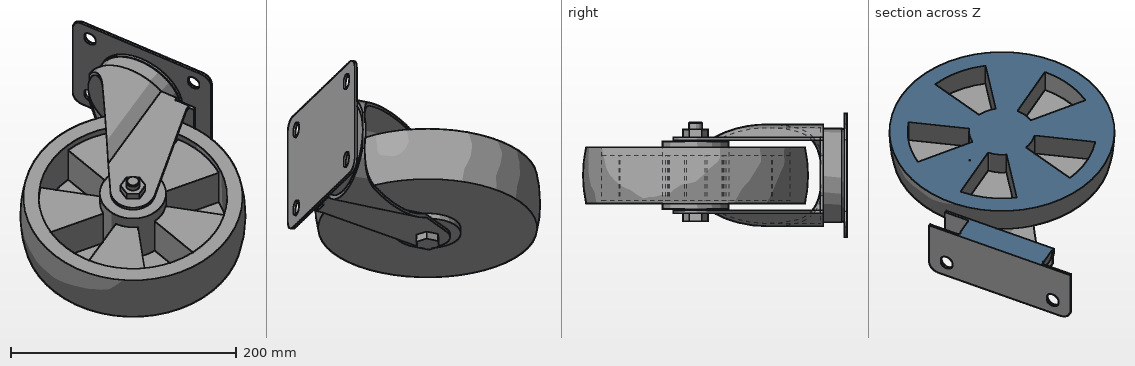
import cadquery as cq
import math


wheel_radius = 100.0
shoulder_radius = 97.1
wheel_width = 50.0
rim_inner_radius = 167.0 / 2
rim_recess = 7.0
hub_radius = 29.3
hub_length = 60.0
pocket_count = 5
pocket_floor = 2.8
pocket_apex = 3.0

axle_diameter = 12.0
axle_chamfer = 1.0
axle_top = 47.0
nut_flats = 19.2
nut_top = 40.8
spacer_diameter = 20.0

plate_length = 140.0
plate_width = 110.0
plate_thickness = 2.3
plate_corner = 10.0
plate_top = 134.5
hole_pitch_x = 105.1
hole_pitch_z = 77.5
hole_width = 11.5
hole_length = 14.0

plate_left = -134.7
swivel_x = plate_left + plate_length / 2
swivel_diameter = 83.3
neck_diameter = 81.7
neck_length = 2.5

fork_top = 113.3
fork_bow_radius = 45.3
fork_half_width = 33.8
fork_thickness = 2.8
crown_end_x = 0.0
leg_end_radius = 20.0
leg_notch_x = -18.8
leg_top_x = -4.7
leg_shoulder_y = 105.5
bow_cut_start = (-81.0, 89.6)
bow_cut_middle = (-93.2, 103.0)
bow_cut_end_y = 111.2

half_width = wheel_width / 2
plate_bottom = plate_top - plate_thickness
crown_bottom = fork_top - fork_thickness
leg_inner = fork_half_width - fork_thickness


def along_y(y):
    """Workplane at height y facing -Y, with local x = X and local y = Z."""
    return cq.Workplane("XZ", origin=(0, y, 0))


def z_cylinder(radius, z_low, z_high):
    return cq.Workplane("XY").workplane(offset=z_low).circle(radius).extrude(z_high - z_low)


def make_wheel():
    """Crowned wheel with a recessed face, wedge pockets and a hub."""
    wheel = (
        cq.Workplane("XZ")
        .moveTo(0, -half_width)
        .lineTo(shoulder_radius, -half_width)
        .threePointArc((wheel_radius, 0), (shoulder_radius, half_width))
        .lineTo(0, half_width)
        .close()
        .revolve(360, (0, 0, 0), (0, 1, 0))
    )
    wheel = wheel.cut(z_cylinder(rim_inner_radius, half_width - rim_recess, half_width))
    sector = math.pi / pocket_count
    wedge_length = 2 * rim_inner_radius
    wedge_half_width = wedge_length * math.tan(sector / 2)
    floor_z = pocket_floor - half_width
    ring = z_cylinder(rim_inner_radius, floor_z, half_width)
    for i in range(pocket_count):
        wedge = (
            cq.Workplane("XY")
            .workplane(offset=floor_z)
            .moveTo(pocket_apex, 0)
            .lineTo(pocket_apex + wedge_length, wedge_half_width)
            .lineTo(pocket_apex + wedge_length, -wedge_half_width)
            .close()
            .extrude(wheel_width)
            .rotate((0, 0, 0), (0, 0, 1), math.degrees(sector * (2 * i + 1)))
        )
        wheel = wheel.cut(ring.intersect(wedge))
    return wheel.union(z_cylinder(hub_radius, -hub_length / 2, hub_length / 2))


def make_axle():
    """Axle with nut, bolt head and the spacers between hub and legs."""
    spacers = z_cylinder(spacer_diameter / 2, -leg_inner, leg_inner)
    hexagons = (
        cq.Workplane("XY")
        .workplane(offset=-nut_top)
        .polygon(6, nut_flats, circumscribed=True)
        .extrude(2 * nut_top)
        .cut(z_cylinder(nut_flats, -fork_half_width, fork_half_width))
    )
    axle = z_cylinder(axle_diameter / 2, -nut_top, axle_top).faces(">Z").chamfer(axle_chamfer)
    return axle.union(spacers).union(hexagons)


def make_plate():
    """Rounded mounting plate with four slotted holes."""
    plate = (
        along_y(plate_top)
        .center(swivel_x, 0)
        .rect(plate_length, plate_width)
        .extrude(plate_thickness)
        .edges("|Y")
        .fillet(plate_corner)
    )
    holes = (
        along_y(plate_top)
        .center(swivel_x, 0)
        .rect(hole_pitch_x, hole_pitch_z, forConstruction=True)
        .vertices()
        .slot2D(hole_length, hole_width, 90)
        .extrude(plate_thickness)
    )
    return plate.cut(holes)


def make_swivel():
    """Round head with a conical neck that flares back out to the plate."""
    head_radius = swivel_diameter / 2
    head_top = plate_bottom - neck_length
    return (
        cq.Workplane("XY", origin=(swivel_x, 0, 0))
        .moveTo(0, fork_top)
        .lineTo(head_radius, fork_top)
        .lineTo(head_radius, head_top)
        .lineTo(neck_diameter / 2, head_top)
        .lineTo(head_radius, plate_bottom)
        .lineTo(0, plate_bottom)
        .close()
        .revolve(360, (0, 0, 0), (0, 1, 0))
    )


def fork_section(radius, half, end_x, y_top, depth):
    """Solid bounded by a bow around the swivel axis and two straight legs."""
    bow_end_x = swivel_x + math.sqrt(radius**2 - half**2)
    return (
        along_y(y_top)
        .moveTo(end_x, half)
        .lineTo(bow_end_x, half)
        .threePointArc((swivel_x - radius, 0), (bow_end_x, -half))
        .lineTo(end_x, -half)
        .close()
        .extrude(depth)
    )


def tangent_point(point, radius, side):
    """Point where a line from the given point touches a circle about the axle."""
    angle = math.atan2(point[1], point[0]) + side * math.acos(radius / math.hypot(*point))
    return (radius * math.cos(angle), radius * math.sin(angle))


def make_fork():
    """Bent sheet trimmed to the leg outline, closed at the top by the crown."""
    depth = fork_top + leg_end_radius
    inner_radius = fork_bow_radius - fork_thickness
    shell = fork_section(fork_bow_radius, fork_half_width, leg_end_radius, fork_top, depth)
    shell = shell.cut(fork_section(inner_radius, leg_inner, leg_end_radius, fork_top, depth))

    bow_left = swivel_x - swivel_diameter / 2
    profile = (
        cq.Workplane("XY")
        .workplane(offset=-fork_bow_radius)
        .moveTo(bow_left, fork_top)
        .lineTo(leg_notch_x, fork_top)
        .lineTo(leg_notch_x, crown_bottom)
        .lineTo(leg_top_x, crown_bottom)
        .lineTo(leg_top_x, leg_shoulder_y)
        .lineTo(*tangent_point((leg_top_x, leg_shoulder_y), leg_end_radius, -1))
        .threePointArc((0, -leg_end_radius), tangent_point(bow_cut_start, leg_end_radius, 1))
        .lineTo(*bow_cut_start)
        .threePointArc(bow_cut_middle, (bow_left, bow_cut_end_y))
        .close()
        .extrude(2 * fork_bow_radius)
    )
    crown = fork_section(inner_radius, leg_inner, crown_end_x, fork_top, fork_thickness)
    return shell.intersect(profile).union(crown)


result = make_wheel()
for part in (make_axle(), make_fork(), make_swivel(), make_plate()):
    result = result.union(part)